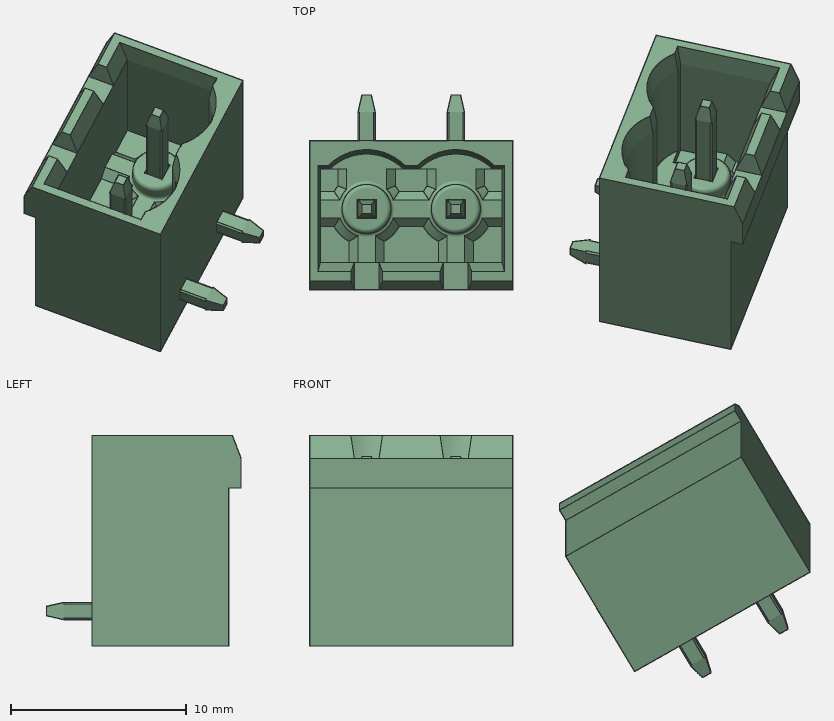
import cadquery as cq
import math


pole_pitch = 5.08
pole_count = 2
pole_xs = [(i - (pole_count - 1) / 2) * pole_pitch for i in range(pole_count)]

housing_length = 11.56
housing_depth = 7.8
housing_height = 12.0
half_depth = housing_depth / 2

lip_projection = 0.7
lip_height = 3.0
lip_chamfer_depth = 0.5
lip_chamfer_height = 1.3

lead_in_height = lip_chamfer_height
cavity_half_length = 5.18
cavity_back = 2.28
cavity_front = -3.04
cavity_floor = 3.5
mouth_half_length = 5.3
mouth_back = 2.48
mouth_front = -3.56
lead_in_base = housing_height - lead_in_height

pocket_half_width = 2.1
pocket_crown = 3.13
pocket_mouth_half_width = 2.17
pocket_mouth_crown = 3.38

notch_floor_width = 1.41
notch_mouth_width = 1.8

rib_height = 0.5
rib_slope_run = 0.5
rib_top = cavity_floor + rib_height
cross_rib_width = 1.0
front_rib_width = 1.0
back_rib_width = 2.28

boss_radius = 1.4
boss_height = 1.0
boss_foot_fillet = 0.2
boss_top_fillet = 0.25
boss_seat_radius = boss_radius + boss_foot_fillet
boss_top = rib_top + boss_height

pin_width = 1.0
pin_edge_chamfer = 0.1
pin_tip_width = 0.54
pin_tip_length = 1.0
pin_top = 10.8
leg_height = 2.0
leg_protrusion = 2.6
pin_clearance = 0.05
leg_end = half_depth + leg_protrusion


def shell():
    """Outer block with the chamfered lip, as a profile swept along X."""
    lip_front = -half_depth - lip_projection
    profile = [
        (half_depth, 0),
        (half_depth, housing_height),
        (lip_front + lip_chamfer_depth, housing_height),
        (lip_front, housing_height - lip_chamfer_height),
        (lip_front, housing_height - lip_height),
        (-half_depth, housing_height - lip_height),
        (-half_depth, 0),
    ]
    return cq.Workplane("YZ").polyline(profile).close().extrude(housing_length / 2, both=True)


def draw_cavity(plane, half_length, front, back):
    """Rectangular cavity outline on a horizontal plane."""
    corners = [(-half_length, front), (half_length, front), (half_length, back), (-half_length, back)]
    return plane.polyline(corners).close()


def draw_pocket(plane, x, half_width, back, crown):
    """Pocket outline: straight to the pin row, arched beyond the back of the cavity."""
    return (
        plane.moveTo(x - half_width, 0)
        .lineTo(x + half_width, 0)
        .lineTo(x + half_width, back)
        .threePointArc((x, crown), (x - half_width, back))
        .close()
    )


def cavity():
    """Space inside the shell: main cavity, curved pockets and their tapered lead-in."""
    cavity_size = (cavity_half_length, cavity_front, cavity_back)
    floor = cq.Workplane().workplane(offset=cavity_floor)
    space = draw_cavity(floor, *cavity_size).extrude(lead_in_base - cavity_floor)

    base = cq.Workplane().workplane(offset=lead_in_base)
    mouth = draw_cavity(base, *cavity_size).workplane(offset=lead_in_height)
    mouth = draw_cavity(mouth, mouth_half_length, mouth_front, mouth_back)
    space = space.union(mouth.loft(ruled=True))

    for x in pole_xs:
        pocket_size = (x, pocket_half_width, cavity_back, pocket_crown)
        pocket_floor = cq.Workplane().workplane(offset=rib_top)
        pocket = draw_pocket(pocket_floor, *pocket_size)
        space = space.union(pocket.extrude(lead_in_base - rib_top))

        base = cq.Workplane().workplane(offset=lead_in_base)
        mouth = draw_pocket(base, *pocket_size).workplane(offset=lead_in_height)
        mouth = draw_pocket(mouth, x, pocket_mouth_half_width, mouth_back, pocket_mouth_crown)
        space = space.union(mouth.loft(ruled=True))
    return space


def notch(x):
    """Flared notch through the front wall, as deep as the lead-in."""
    profile = [
        (x - notch_floor_width / 2, lead_in_base),
        (x + notch_floor_width / 2, lead_in_base),
        (x + notch_mouth_width / 2, housing_height),
        (x - notch_mouth_width / 2, housing_height),
    ]
    return (
        cq.Workplane("XZ", origin=(0, cavity_front, 0))
        .polyline(profile)
        .close()
        .extrude(half_depth + lip_projection + cavity_front)
    )


def draw_rib_section(plane, top_width):
    """Cross-section of a floor rib, wider at its foot."""
    foot_half = top_width / 2 + rib_slope_run
    section = [
        (-foot_half, cavity_floor),
        (foot_half, cavity_floor),
        (top_width / 2, rib_top),
        (-top_width / 2, rib_top),
    ]
    return plane.polyline(section).close()


def floor_ribs():
    """Cross rib along the pin row, and a front and a back rib at each pole."""
    ribs = draw_rib_section(cq.Workplane("YZ"), cross_rib_width).extrude(cavity_half_length, both=True)
    for x in pole_xs:
        pole_plane = cq.Workplane("XZ", origin=(x, 0, 0))
        ribs = ribs.union(draw_rib_section(pole_plane, front_rib_width).extrude(-cavity_front))
        ribs = ribs.union(draw_rib_section(pole_plane, back_rib_width).extrude(-cavity_back))
    return ribs


def boss(x):
    """Conical seat level with the ribs, carrying a round boss with a filleted foot and rim."""
    cos_45 = math.sqrt(0.5)
    foot_mid = boss_seat_radius - boss_foot_fillet * cos_45, rib_top + boss_foot_fillet * (1 - cos_45)
    rim_radius = boss_radius - boss_top_fillet
    rim_mid = rim_radius + boss_top_fillet * cos_45, boss_top - boss_top_fillet * (1 - cos_45)
    return (
        cq.Workplane("XZ", origin=(x, 0, 0))
        .moveTo(0, cavity_floor)
        .lineTo(boss_seat_radius + rib_slope_run, cavity_floor)
        .lineTo(boss_seat_radius, rib_top)
        .threePointArc(foot_mid, (boss_radius, rib_top + boss_foot_fillet))
        .lineTo(boss_radius, boss_top - boss_top_fillet)
        .threePointArc(rim_mid, (rim_radius, boss_top))
        .lineTo(0, boss_top)
        .close()
        .revolve(360, (0, 0), (0, 1))
    )


def pin_hole(x):
    """Loose square hole around the upright blade, from the boss top down to the solder leg."""
    hole_width = pin_width + 2 * pin_clearance
    hole_bottom = leg_height + pin_width / 2
    return (
        cq.Workplane(origin=(x, 0, hole_bottom))
        .rect(hole_width, hole_width)
        .extrude(boss_top - hole_bottom)
    )


def pin(x):
    """Bent contact: an upright blade and a solder leg leaving through the back."""
    bend = (x, 0, leg_height)
    upright = tapered_bar(cq.Plane(origin=bend, normal=(0, 0, 1), xDir=(1, 0, 0)), pin_top - leg_height)
    leg = tapered_bar(cq.Plane(origin=bend, normal=(0, 1, 0), xDir=(1, 0, 0)), leg_end)
    return upright.union(leg)


def tapered_bar(plane, length):
    """Square bar with broken edges, starting half a width behind the origin and ending in a blunt pyramid."""
    heel = pin_width / 2
    shaft_end = length - pin_tip_length
    shaft = (
        cq.Workplane(plane)
        .workplane(offset=-heel)
        .sketch()
        .rect(pin_width, pin_width)
        .vertices()
        .chamfer(pin_edge_chamfer)
        .finalize()
        .extrude(heel + shaft_end)
    )
    tip = (
        cq.Workplane(plane)
        .workplane(offset=shaft_end)
        .rect(pin_width, pin_width)
        .workplane(offset=pin_tip_length)
        .rect(pin_tip_width, pin_tip_width)
        .loft(ruled=True)
    )
    return shaft.union(tip)


pins = [pin(x) for x in pole_xs]

housing = shell().cut(cavity()).union(floor_ribs())
for x in pole_xs:
    housing = housing.cut(notch(x)).union(boss(x)).cut(pin_hole(x))
for contact in pins:
    housing = housing.cut(contact)

result = cq.Compound.makeCompound([housing.solids().val()] + [contact.solids().val() for contact in pins])